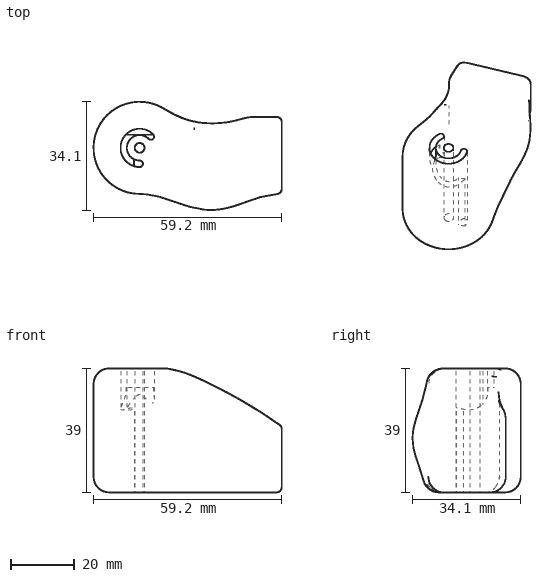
import cadquery as cq
import math

BARREL_RADIUS = 14.5
HEIGHT = 39.0
END_X = 44.65
RIM_FILLET = 5.0
END_FILLET = 1.75

BACK_TANGENT_ANGLE = 57.0
WAIST = (22.8, 7.65)
RISE_POINT = (31.1, 8.8)
FLANK_START_X = 36.4
FLANK_Y = 9.75

SWELL_HEIGHT = 5.05
SWELL_PEAK_X = END_X / 2
SWELL_PEAK_Z = 17.0
SWELL_RIDGE_SLOPE = -0.12
SWELL_SPREAD_Z = 8.7
SWELL_GRID_STEPS = 16

ROOF_START_X = 8.1
ROOF_START_SLOPE = -0.12
ROOF_SHOULDER = (20.45, 34.95)
ROOF_MIDDLE = (30.4, 29.8)
ROOF_END_Z = 20.75
ROOF_END_SLOPE = -0.72
ROOF_FILLET = 3.0

PIVOT_DIAMETER = 3.0
SLOT_RADIUS = 5.0
SLOT_WIDTH = 2.0
SLOT_START_ANGLE = 45.0
SLOT_END_ANGLE = 270.0
WINDOW_LEFT_X = -1.75
SHELF_DEPTH = 6.0
CHANNEL_BACK_Y = 4.1
CHANNEL_MIDDLE = (2.5, 28.0)
CHANNEL_FRONT = (-2.6, 26.0)
RAMP_RISE = 1.0

CLEARANCE = 10.0
SWELL_OVERLAP = 1.0


def polar(radius, angle):
    """Point at a radius and an angle in degrees around the barrel axis."""
    return (
        radius * math.cos(math.radians(angle)),
        radius * math.sin(math.radians(angle)),
    )


def swell_point(x, z):
    """Point of the swollen front wall above a place on its flat tangent plane."""
    along = math.sin(math.pi * x / END_X) ** 2
    ridge_z = SWELL_PEAK_Z + SWELL_RIDGE_SLOPE * (x - SWELL_PEAK_X)
    upward = math.exp(-((z - ridge_z) / SWELL_SPREAD_Z) ** 2 / 2)
    return cq.Vector(x, -BARREL_RADIUS - SWELL_HEIGHT * along * upward, z)


def make_plan_body():
    """Straight-walled body with spare material in front of the front wall."""
    front_y = -BARREL_RADIUS - CLEARANCE
    tangent_point = polar(BARREL_RADIUS, BACK_TANGENT_ANGLE)
    barrel_tangent = polar(1, BACK_TANGENT_ANGLE - 90)
    return (
        cq.Workplane("XY")
        .moveTo(0, -BARREL_RADIUS)
        .threePointArc((-BARREL_RADIUS, 0), tangent_point)
        .spline(
            [WAIST, RISE_POINT, (FLANK_START_X, FLANK_Y)],
            tangents=[barrel_tangent, (1, 0)],
            includeCurrent=True,
        )
        .lineTo(END_X, FLANK_Y)
        .lineTo(END_X, front_y)
        .lineTo(0, front_y)
        .close()
        .extrude(HEIGHT)
    )


def make_front_waste():
    """Everything in front of the swollen front wall."""
    x_step = (END_X + SWELL_OVERLAP) / SWELL_GRID_STEPS
    z_step = (HEIGHT + 2 * SWELL_OVERLAP) / SWELL_GRID_STEPS
    grid = [
        [swell_point(i * x_step, j * z_step - SWELL_OVERLAP) for j in range(SWELL_GRID_STEPS + 1)]
        for i in range(SWELL_GRID_STEPS + 1)
    ]
    wall = cq.Face.makeSplineApprox(grid, tol=0.01, minDeg=3, maxDeg=5)
    depth = SWELL_HEIGHT + 2 * CLEARANCE
    return cq.Workplane(cq.Solid.extrudeLinear(wall, cq.Vector(0, -depth, 0)))


def make_roof_waste():
    """Everything above the sloping roof, wider than the body on both sides."""
    reach = 4 * BARREL_RADIUS
    return (
        cq.Workplane("XZ", origin=(0, reach / 2, 0))
        .moveTo(ROOF_START_X, HEIGHT)
        .spline(
            [ROOF_SHOULDER, ROOF_MIDDLE, (END_X, ROOF_END_Z)],
            tangents=[(1, ROOF_START_SLOPE), (1, ROOF_END_SLOPE)],
            includeCurrent=True,
        )
        .lineTo(END_X + CLEARANCE, ROOF_END_Z)
        .lineTo(END_X + CLEARANCE, HEIGHT + CLEARANCE)
        .lineTo(ROOF_START_X, HEIGHT + CLEARANCE)
        .close()
        .extrude(reach)
    )


def make_slot_opening():
    """C-shaped slot region around the pivot hole, full height."""
    inner = SLOT_RADIUS - SLOT_WIDTH / 2
    outer = SLOT_RADIUS + SLOT_WIDTH / 2
    middle_angle = (SLOT_START_ANGLE + SLOT_END_ANGLE) / 2
    ring = (
        cq.Workplane("XY")
        .moveTo(*polar(inner, SLOT_START_ANGLE))
        .threePointArc(polar(inner, middle_angle), polar(inner, SLOT_END_ANGLE))
        .lineTo(*polar(outer, SLOT_END_ANGLE))
        .threePointArc(polar(outer, middle_angle), polar(outer, SLOT_START_ANGLE))
        .close()
        .extrude(HEIGHT)
    )
    slot_ends = [polar(SLOT_RADIUS, SLOT_START_ANGLE), polar(SLOT_RADIUS, SLOT_END_ANGLE)]
    end_posts = cq.Workplane("XY").pushPoints(slot_ends).circle(SLOT_WIDTH / 2).extrude(HEIGHT)
    return ring.union(end_posts)


def make_slot_profile():
    """Side profile of the slot: shelf, concave channel and ramp, extruded along X."""
    reach = SLOT_RADIUS + SLOT_WIDTH
    shelf_z = HEIGHT - SHELF_DEPTH
    return (
        cq.Workplane("YZ", origin=(-reach, 0, 0))
        .moveTo(reach, HEIGHT)
        .lineTo(reach, shelf_z)
        .lineTo(CHANNEL_BACK_Y, shelf_z)
        .threePointArc(CHANNEL_MIDDLE, CHANNEL_FRONT)
        .lineTo(-reach, CHANNEL_FRONT[1] + RAMP_RISE)
        .lineTo(-reach, HEIGHT)
        .close()
        .extrude(2 * reach)
    )


def cut_openings(body):
    """Cut the pivot hole, the blind slot and the window at the slot's front end."""
    slot = make_slot_opening()
    window_side = 2 * SLOT_RADIUS
    window = cq.Workplane("XY").box(window_side, window_side, HEIGHT, centered=False)
    window = window.translate((WINDOW_LEFT_X, -window_side, 0))
    pivot = cq.Workplane("XY").circle(PIVOT_DIAMETER / 2).extrude(HEIGHT)
    blind_slot = slot.intersect(make_slot_profile())
    through_slot = slot.intersect(window)
    return body.cut(blind_slot).cut(through_slot).cut(pivot)


def round_rims(body):
    """Round the top and bottom rims, leaving the flat end sharp."""
    return body.faces(">Z or <Z").edges("not(>X)").fillet(RIM_FILLET)


def round_roof(body):
    """Round the long sides of the roof; the rounding carries on across its start line."""
    near_roof = (ROOF_MIDDLE[0], 0, ROOF_MIDDLE[1])
    roof = body.faces(cq.selectors.NearestToPointSelector(near_roof))
    return body.newObject(roof.edges("not(|Y)").vals()).fillet(ROOF_FILLET)


def round_end(body):
    """Round every edge of the flat end."""
    return body.faces(">X").edges().fillet(END_FILLET)


body = make_plan_body().cut(make_front_waste())
body = round_rims(body).cut(make_roof_waste())
body = round_end(round_roof(body))
result = cut_openings(body)